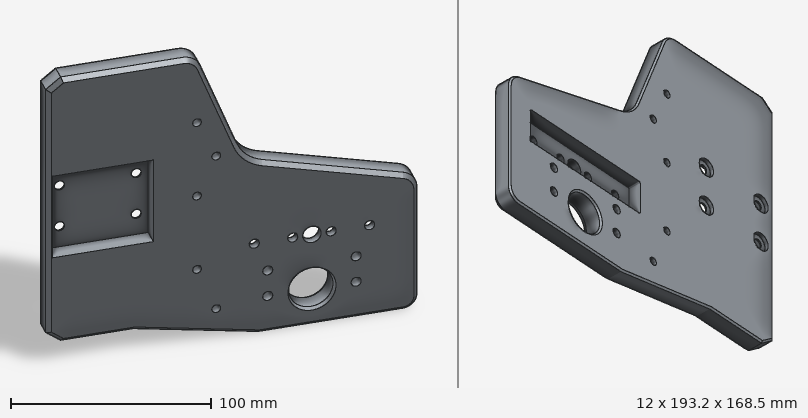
import cadquery as cq

THICKNESS = 12.0
LENGTH = 193.2
HEIGHT = 168.5

FRONT_CHAMFER = 1.0
BACK_CHAMFER = 2.3

BASE_STEP = 13.5
BASE_STEP_END = 45.5
BASE_SLOPE_END = 110.5
CLIP_Y = 7.8
CLIP_Z = 6.0

TOP_CORNER_Y = 78.0
NECK_Y = 103.0
NECK_Z = 103.6
ARM_CORNER_Z = 78.0
CORNER_RADIUS = 10.0
NECK_RADIUS = 20.0
FOOT_RADIUS = 7.5

ARM_CENTRE_Y = 137.9
POCKET_Z = 53.5
POCKET_LENGTH = 80.5
POCKET_WIDTH = 20.0
POCKET_DEPTH = 7.5
POCKET_CORNER_RADIUS = 1.0
POCKET_HOLE_OFFSETS = (10.0, 30.0)
POCKET_CENTRE_DIAMETER = 9.5
SCREW_DIAMETER = 5.2

BORE_Z = 21.5
BORE_DIAMETER = 23.0
BORE_CHAMFER = 1.0
BORE_BACK_CHAMFER_DEPTH = 2.0
BORE_SCREW_SPACING_Y = 46.0
BORE_SCREW_RISE = 15.0

SMALL_DIAMETER = 4.5
INNER_ROW_Y = 78.1
OUTER_ROW_Y = 88.1
INNER_ROW_Z = (43.8, 87.0, 130.2)
OUTER_ROW_Z = (18.9, 108.7)

MOUNT_Y = (9.2, 49.2)
MOUNT_Z = (76.3, 100.3)
COUNTERBORE_DIAMETER = 10.5
COUNTERBORE_DEPTH = 2.2
MOUNT_WEB = 3.0
RECESS_MARGIN_Y = 6.2
RECESS_MARGIN_Z = 12.0


def corner_edge(solid, y, z):
    """Edge along X closest to the given outline corner."""
    return solid.edges("|X").edges(cq.selectors.NearestToPointSelector((THICKNESS / 2, y, z)))


def make_plate():
    outline = [
        (0, BASE_STEP + CLIP_Z),
        (CLIP_Y, BASE_STEP),
        (BASE_STEP_END, BASE_STEP),
        (BASE_SLOPE_END, 0),
        (LENGTH, 0),
        (LENGTH, ARM_CORNER_Z),
        (NECK_Y, NECK_Z),
        (TOP_CORNER_Y, HEIGHT),
        (CLIP_Y, HEIGHT),
        (0, HEIGHT - CLIP_Z),
    ]
    plate = cq.Workplane("YZ").polyline(outline).close().extrude(THICKNESS)
    rounded = [
        (LENGTH, 0, FOOT_RADIUS),
        (LENGTH, ARM_CORNER_Z, CORNER_RADIUS),
        (NECK_Y, NECK_Z, NECK_RADIUS),
        (TOP_CORNER_Y, HEIGHT, CORNER_RADIUS),
    ]
    for y, z, radius in rounded:
        plate = corner_edge(plate, y, z).fillet(radius)
    plate = plate.faces("<X").chamfer(FRONT_CHAMFER)
    return plate.faces(">X").chamfer(BACK_CHAMFER)


def holes(points, diameter, start=0.0, depth=THICKNESS):
    """Cylinders along +X from X = start at the given (Y, Z) points."""
    plane = cq.Workplane("YZ").workplane(offset=start)
    return plane.pushPoints(points).circle(diameter / 2).extrude(depth)


def block(y, z, length, width, start, depth):
    """Box cutter along +X centred on (y, z)."""
    plane = cq.Workplane("YZ").workplane(offset=start)
    return plane.center(y, z).rect(length, width).extrude(depth)


def cut_pocket(part):
    pocket = block(ARM_CENTRE_Y, POCKET_Z, POCKET_LENGTH, POCKET_WIDTH, 0, POCKET_DEPTH)
    part = part.cut(pocket.edges("|X").fillet(POCKET_CORNER_RADIUS))
    screws = []
    for offset in POCKET_HOLE_OFFSETS:
        screws += [(ARM_CENTRE_Y - offset, POCKET_Z), (ARM_CENTRE_Y + offset, POCKET_Z)]
    part = part.cut(holes(screws, SCREW_DIAMETER))
    return part.cut(holes([(ARM_CENTRE_Y, POCKET_Z)], POCKET_CENTRE_DIAMETER))


def cut_bore(part):
    part = part.cut(holes([(ARM_CENTRE_Y, BORE_Z)], BORE_DIAMETER))
    for x, depth in ((0, BORE_CHAMFER), (THICKNESS, BORE_BACK_CHAMFER_DEPTH)):
        rim = cq.selectors.NearestToPointSelector((x, ARM_CENTRE_Y, BORE_Z))
        part = part.edges("%CIRCLE").edges(rim).chamfer(depth, BORE_CHAMFER)
    half = BORE_SCREW_SPACING_Y / 2
    screws = [(ARM_CENTRE_Y + dy, BORE_Z + dz) for dy in (-half, half) for dz in (0, BORE_SCREW_RISE)]
    return part.cut(holes(screws, SCREW_DIAMETER))


def cut_small_holes(part):
    points = [(INNER_ROW_Y, z) for z in INNER_ROW_Z]
    points += [(OUTER_ROW_Y, z) for z in OUTER_ROW_Z]
    return part.cut(holes(points, SMALL_DIAMETER))


def cut_mounts(part):
    points = [(y, z) for y in MOUNT_Y for z in MOUNT_Z]
    part = part.cut(holes(points, SCREW_DIAMETER))
    part = part.cut(holes(points, COUNTERBORE_DIAMETER, 0, COUNTERBORE_DEPTH))
    recess = block(
        sum(MOUNT_Y) / 2,
        sum(MOUNT_Z) / 2,
        MOUNT_Y[1] - MOUNT_Y[0] + 2 * RECESS_MARGIN_Y,
        MOUNT_Z[1] - MOUNT_Z[0] + 2 * RECESS_MARGIN_Z,
        MOUNT_WEB,
        THICKNESS - MOUNT_WEB,
    )
    return part.cut(recess)


result = make_plate()
result = cut_bore(result)
result = cut_pocket(result)
result = cut_small_holes(result)
result = cut_mounts(result)